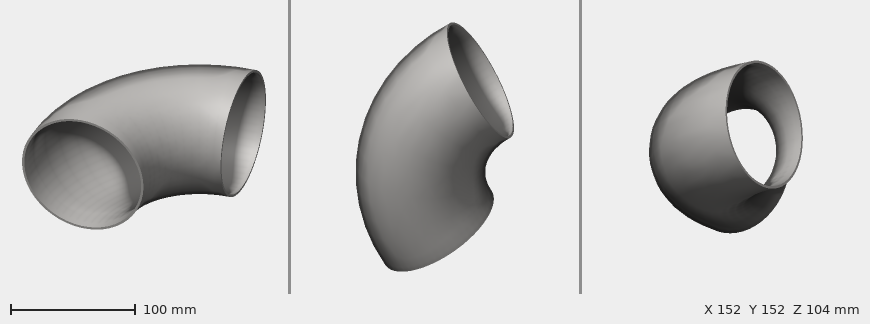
import cadquery as cq

outer_diameter = 104.0
wall_thickness = 2.0
bend_radius = 100.0
bend_angle = 90.0

outer_radius = outer_diameter / 2
inner_radius = outer_radius - wall_thickness


def pipe_elbow():
    """Sweep the pipe's ring section about the Z axis, from the -Y facing end to the +X facing end."""
    section = (
        cq.Workplane("XZ")
        .center(-bend_radius, 0)
        .circle(outer_radius)
        .circle(inner_radius)
    )
    axis_start = (bend_radius, 0)
    axis_end = (bend_radius, -1)
    return section.revolve(bend_angle, axis_start, axis_end)


result = pipe_elbow()